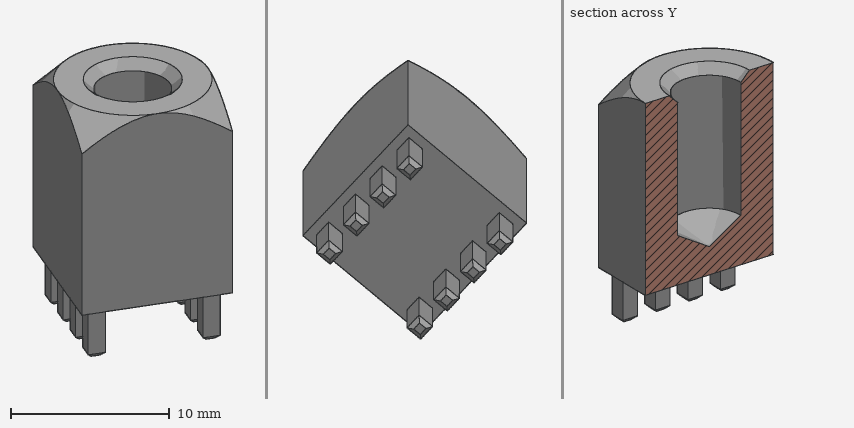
import cadquery as cq
import math

body_width = 10.0
body_height = 13.5
corner_bevel_angle = 45.0

hole_diameter = 4.92
mouth_diameter = 6.25
mouth_depth = (mouth_diameter - hole_diameter) / 2
hole_depth = 10.0
drill_point_angle = 118.0

pin_length = 3.5
pin_width = 1.15
pin_tip_bevel = 0.3
pin_pitch = 2.54
pins_per_row = 4
row_count = 2
row_spacing = (pins_per_row - 1) * pin_pitch


def make_body():
    """Square block whose top corners are trimmed by a cone tangent to the top edges."""
    block = cq.Workplane("XY").box(body_width, body_width, body_height, centered=(True, True, False))
    top_radius = body_width / 2
    base_radius = top_radius + body_height / math.tan(math.radians(corner_bevel_angle))
    trimming_cone = (
        cq.Workplane("XZ")
        .polyline([(0, 0), (base_radius, 0), (top_radius, body_height), (0, body_height)])
        .close()
        .revolve(360, (0, 0, 0), (0, 1, 0))
    )
    return block.intersect(trimming_cone)


def make_hole():
    """Solid of revolution that is removed from the body to form the hole."""
    hole_radius = hole_diameter / 2
    wall_end = body_height - hole_depth
    point_depth = hole_radius / math.tan(math.radians(drill_point_angle / 2))
    profile = [
        (0, body_height),
        (mouth_diameter / 2, body_height),
        (hole_radius, body_height - mouth_depth),
        (hole_radius, wall_end),
        (0, wall_end - point_depth),
    ]
    return cq.Workplane("XZ").polyline(profile).close().revolve(360, (0, 0, 0), (0, 1, 0))


def make_pins():
    """Both rows of pins, hanging from the bottom face of the body."""
    return (
        cq.Workplane("XY")
        .rarray(pin_pitch, row_spacing, pins_per_row, row_count)
        .rect(pin_width, pin_width)
        .extrude(-pin_length)
        .faces("<Z")
        .chamfer(pin_tip_bevel)
    )


result = make_body().cut(make_hole()).union(make_pins())